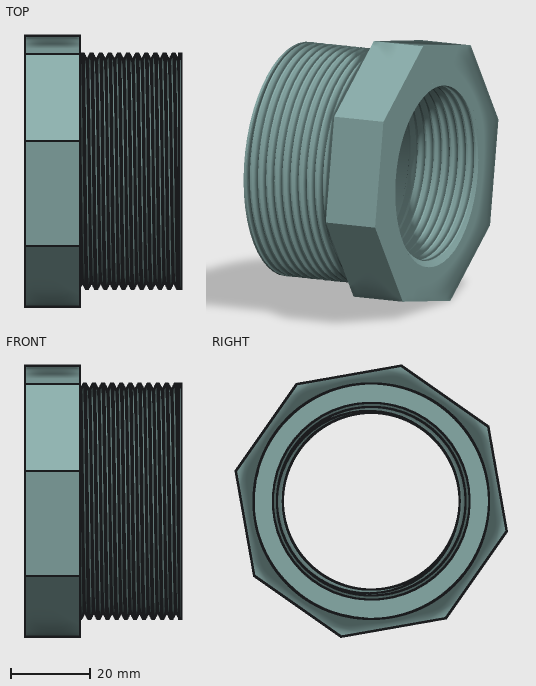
import cadquery as cq
import math

span = 68.65
length = 39.7
head_length = 14.0
head_tilt = 10.0
head_sides = 8

shank_diameter = 56.6
collar_width = 0.6
bore_diameter = 47.8
rear_bore_diameter = 49.8

turns_counted = 11
counted_run = 25.4
pitch = counted_run / turns_counted
tooth_height = 1.5
tooth_base = 2.0
tooth_crest = 0.4
inner_thread_length = 20.3
outer_lead_in = pitch
inner_lead_in = 1.5 * pitch

collar_diameter = shank_diameter + 2 * tooth_height


def tube(start, end, outer_diameter, inner_diameter):
    """Tube along X between two stations."""
    ring = cq.Workplane("YZ", origin=(start, 0, 0)).circle(outer_diameter / 2).circle(inner_diameter / 2)
    return ring.extrude(end - start)


def helical_ridge(root_radius, direction, start, end, lead_in):
    """Right-handed ridge trimmed flat at both stations; direction is 1 outwards, -1 inwards."""
    crest_radius = root_radius + direction * tooth_height
    turns = math.ceil((lead_in + end - start) / pitch) + 1

    section = [
        (root_radius, -direction * tooth_base / 2),
        (crest_radius, -direction * tooth_crest / 2),
        (crest_radius, direction * tooth_crest / 2),
        (root_radius, direction * tooth_base / 2),
    ]

    helices = [
        cq.Wire.makeHelix(pitch, turns * pitch, radius, center=cq.Vector(0, 0, height))
        for radius, height in section
    ]
    faces = [
        cq.Face.makeRuledSurface(helix, helices[(index + 1) % len(helices)])
        for index, helix in enumerate(helices)
    ]
    for top in (0, turns * pitch):
        corners = [cq.Vector(radius, 0, height + top) for radius, height in section]
        faces.append(cq.Face.makeFromWires(cq.Wire.makePolygon(corners, close=True)))
    ridge = cq.Workplane(obj=cq.Solid.makeSolid(cq.Shell.makeShell(faces)).fix())

    ridge = ridge.rotate((0, 0, 0), (0, 1, 0), 90)
    ridge = ridge.translate((start - lead_in, 0, 0))
    room = cq.Workplane("YZ", origin=(start, 0, 0)).rect(span, span).extrude(end - start)
    return ridge.intersect(room)


def make_housing():
    """Octagonal head and shank with an end collar and a stepped bore."""
    corner_angle = 180.0 / head_sides - head_tilt
    corner_radius = span / 2 / math.cos(math.radians(corner_angle))
    head = cq.Workplane("YZ").polygon(head_sides, 2 * corner_radius).extrude(head_length)
    head = head.rotate((0, 0, 0), (1, 0, 0), -corner_angle)
    shank = cq.Workplane("YZ").circle(shank_diameter / 2).extrude(length)
    collar = tube(length - collar_width, length, collar_diameter, bore_diameter)
    front_bore = cq.Workplane("YZ").circle(bore_diameter / 2).extrude(length)
    rear_bore = cq.Workplane("YZ", origin=(inner_thread_length, 0, 0)).circle(rear_bore_diameter / 2)
    rear_bore = rear_bore.extrude(length - inner_thread_length)
    return head.union(shank).union(collar).cut(front_bore).cut(rear_bore)


def make_outer_thread():
    """External thread between the head and the end collar."""
    start = head_length
    end = length - collar_width
    return helical_ridge(shank_diameter / 2, 1, start, end, outer_lead_in)


def make_inner_thread():
    """Internal thread from the head face to the rear bore."""
    return helical_ridge(bore_diameter / 2, -1, 0, inner_thread_length, inner_lead_in)


housing = make_housing()
outer_thread = make_outer_thread()
inner_thread = make_inner_thread()

result = cq.Compound.makeCompound([housing.val(), outer_thread.val(), inner_thread.val()])